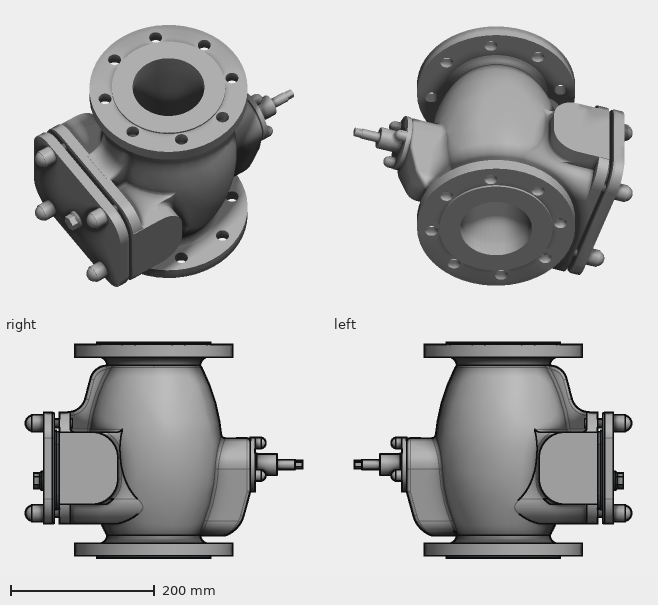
import cadquery as cq
import math

tolerance = 0.2

overall_height = 300.0
bore_diameter = 100.0
flange_diameter = 220.0
flange_thickness = 18.0
raised_face_diameter = 158.0
raised_face_height = 3.0
bolt_circle_diameter = 180.0
bolt_hole_count = 8
bolt_hole_diameter = 18.0
neck_radius = 65.0
neck_foot_radius = 72.5
barrel_radius = 95.0
barrel_half_height = 118.0
half_height = overall_height / 2
flange_outer_z = half_height - raised_face_height
flange_inner_z = flange_outer_z - flange_thickness

cover_width = 215.0
cover_height = 155.0
cover_corner_radius = 35.0
cover_center_z = -25.0
cover_top_z = cover_center_z + cover_height / 2
cover_bottom_z = cover_center_z - cover_height / 2
housing_back_y = -116.0
plate_thickness = 15.0
housing_face_y = housing_back_y - plate_thickness
cover_gap = 7.0
cover_back_y = housing_face_y - cover_gap
cover_face_y = cover_back_y - plate_thickness
cover_chamfer_depth = 3.0
cover_chamfer_inset = 1.5

slab_height = 100.0
slab_inner_y = -50.0
slab_corner_radius = 35.0
slab_top_z = cover_center_z + slab_height / 2
root_width = 165.0
casting_fillet = 5.0
housing_foot_fillet = 6.0

seat_width = 167.0
seat_height = 107.0
seat_center_z = -27.5
seat_thickness = 4.5
gasket_width = 171.0
gasket_height = 110.0
seat_corner_radius = 18.0

stud_diameter = 12.0
stud_tail = 2.5
stud_spacing_x = 128.0
stud_spacing_z = 125.0
nut_diameter = 24.0
nut_body_length = 16.5
nut_dome_diameter = 22.0
nut_length = 25.42

plug_center_z = -42.5
plug_collar_diameter = 25.9
plug_collar_thickness = 5.5
plug_collar_chamfer = 2.5
plug_hex_across_corners = 21.94
plug_length = 14.0

rib_width = 55.0
rib_bend_radius = 25.0
rib_slope = math.radians(14.6)
rib_crest_y = -64.0
rib_straight_length = 28.4
rib_edge_fillet = 5.0

shaft_z = -20.0
boss_top_radius = 37.0
boss_bottom_radius = 25.0
boss_circle_spacing = 74.0
boss_face_y = 134.5
boss_slope_start_z = -57.0
boss_slope = math.radians(15.2)
boss_slope_drop = 33.5
boss_edge_fillet = 5.0
boss_heel_overrun = 2.0
boss_shoulder_fillet = 10.0

bonnet_diameter = 76.0
bonnet_thickness = 6.5
gland_diameter = 30.0
gland_length = 30.5
gland_foot_diameter = 32.0
gland_foot_height = 2.0
shaft_diameter = 14.0
shaft_shoulder_y = 197.0
shaft_end_y = 207.0
shaft_tip_diameter = 12.0
shaft_tip_across_flats = 10.0
shaft_chamfer = 0.8
bonnet_nut_count = 3
bonnet_nut_circle_radius = 30.0
bonnet_nut_diameter = 16.0
bonnet_nut_dome_diameter = 15.0
bonnet_nut_body_length = 8.5
bonnet_nut_length = 15.0
bonnet_face_y = boss_face_y + bonnet_thickness


def y_cylinder(diameter, y_start, y_end, x=0.0, z=0.0):
    """Cylinder along Y between two Y positions."""
    axis = cq.Vector(0, math.copysign(1, y_end - y_start), 0)
    solid = cq.Solid.makeCylinder(diameter / 2, abs(y_end - y_start), cq.Vector(x, y_start, z), axis)
    return cq.Workplane(obj=solid)


def xz_plate(width, height, corner_radius, y_back, y_front, center_z=cover_center_z):
    """Round-cornered plate in XZ, from y_back forward to y_front (towards -Y)."""
    return (
        cq.Workplane("XZ", origin=(0, y_back, center_z))
        .rect(width, height)
        .extrude(y_back - y_front)
        .edges("|Y")
        .fillet(corner_radius)
    )


def dome_nut(diameter, dome_diameter, body_length, length, x, y, z, direction):
    """Cap nut along Y: a cylinder carrying a rounded dome; direction is +1 or -1."""
    dome_height = length - body_length
    dome_radius = dome_diameter / 2
    sphere_radius = (dome_radius**2 + dome_height**2) / (2 * dome_height)
    center = length - sphere_radius
    rim_angle = math.atan2(body_length - center, dome_radius)
    mid_angle = (rim_angle + math.pi / 2) / 2
    arc_middle = (sphere_radius * math.cos(mid_angle), center + sphere_radius * math.sin(mid_angle))
    nut = (
        cq.Workplane("XY")
        .lineTo(diameter / 2, 0)
        .lineTo(diameter / 2, body_length)
        .lineTo(dome_radius, body_length)
        .threePointArc(arc_middle, (0, length))
        .close()
        .revolve(360, (0, 0, 0), (0, 1, 0))
    )
    if direction < 0:
        nut = nut.mirror("XZ")
    return nut.translate((x, y, z))


def fillet_where(body, radius, test):
    """Fillet every edge whose bounding box passes the test."""
    chosen = [edge for edge in body.edges().vals() if test(edge, edge.BoundingBox())]
    return body.newObject(chosen).fillet(radius)


def barrel():
    return (
        cq.Workplane("XZ")
        .moveTo(0, -barrel_half_height)
        .lineTo(neck_radius, -barrel_half_height)
        .threePointArc((barrel_radius, 0), (neck_radius, barrel_half_height))
        .lineTo(0, barrel_half_height)
        .close()
        .revolve(360, (0, 0, 0), (0, 1, 0))
    )


def flange_end():
    """Upper concave neck and pipe flange with its raised face and bolt holes."""
    rise = flange_inner_z - barrel_half_height
    flare = neck_foot_radius - neck_radius
    arc_radius = (rise**2 + flare**2) / (2 * flare)
    half_turn = math.asin(rise / arc_radius) / 2
    arc_middle_x = neck_radius + arc_radius * (1 - math.cos(half_turn))
    arc_middle_z = barrel_half_height + arc_radius * math.sin(half_turn)
    profile = (
        cq.Workplane("XZ")
        .moveTo(0, barrel_half_height)
        .lineTo(neck_radius, barrel_half_height)
        .threePointArc((arc_middle_x, arc_middle_z), (neck_foot_radius, flange_inner_z))
        .lineTo(flange_diameter / 2, flange_inner_z)
        .lineTo(flange_diameter / 2, flange_outer_z)
        .lineTo(raised_face_diameter / 2, flange_outer_z)
        .lineTo(raised_face_diameter / 2, half_height)
        .lineTo(0, half_height)
        .close()
    )
    holes = (
        cq.Workplane("XY", origin=(0, 0, flange_inner_z))
        .polarArray(bolt_circle_diameter / 2, 180 / bolt_hole_count, 360, bolt_hole_count)
        .circle(bolt_hole_diameter / 2)
        .extrude(flange_thickness)
    )
    return profile.revolve(360, (0, 0, 0), (0, 1, 0)).cut(holes)


def chamber_slab():
    depth = slab_inner_y - housing_face_y
    center_y = (slab_inner_y + housing_face_y) / 2
    return (
        cq.Workplane("XY")
        .box(cover_width, depth, slab_height)
        .edges("|X and >Y")
        .fillet(slab_corner_radius)
        .translate((0, center_y, cover_center_z))
    )


def chamber_root():
    height = slab_top_z - cover_bottom_z
    return (
        cq.Workplane("XY")
        .box(root_width, -housing_face_y, height)
        .edges("|Y and <Z")
        .fillet(cover_corner_radius)
        .translate((0, housing_face_y / 2, (slab_top_z + cover_bottom_z) / 2))
    )


def rib():
    """Upright rib with an S-shaped crest: convex bend, straight run, concave bend."""
    turn = math.pi / 2 - rib_slope
    bend_y = rib_bend_radius * math.sin(turn)
    bend_z = rib_bend_radius * (1 - math.cos(turn))
    half_y = rib_bend_radius * math.sin(turn / 2)
    half_z = rib_bend_radius * (1 - math.cos(turn / 2))
    top_z = barrel_half_height
    straight_start = (rib_crest_y - bend_y, top_z - bend_z)
    straight_end = (
        straight_start[0] - rib_straight_length * math.sin(rib_slope),
        straight_start[1] - rib_straight_length * math.cos(rib_slope),
    )
    foot = (straight_end[0] - bend_y, straight_end[1] - bend_z)
    return (
        cq.Workplane("YZ", origin=(-rib_width / 2, 0, 0))
        .moveTo(0, top_z)
        .lineTo(rib_crest_y, top_z)
        .threePointArc((rib_crest_y - half_y, top_z - half_z), straight_start)
        .lineTo(*straight_end)
        .threePointArc((foot[0] + half_y, foot[1] + half_z), foot)
        .lineTo(foot[0], cover_center_z)
        .lineTo(0, cover_center_z)
        .close()
        .extrude(rib_width)
    )


def is_boss_rim(edge, box):
    """Rim of the sloped front: edges near the front that also run in Z."""
    return box.ymin > boss_face_y / 2 and box.zlen > tolerance


def boss():
    """Tapered boss: outline around two circles, front cut to a sloped, rounded heel."""
    taper = math.asin((boss_top_radius - boss_bottom_radius) / boss_circle_spacing)
    top_x = boss_top_radius * math.cos(taper)
    top_z = shaft_z - boss_top_radius * math.sin(taper)
    low_center_z = shaft_z - boss_circle_spacing
    low_x = boss_bottom_radius * math.cos(taper)
    low_z = low_center_z - boss_bottom_radius * math.sin(taper)
    bottom_z = low_center_z - boss_bottom_radius
    outline = (
        cq.Workplane("XZ")
        .moveTo(-low_x, low_z)
        .lineTo(-top_x, top_z)
        .threePointArc((0, shaft_z + boss_top_radius), (top_x, top_z))
        .lineTo(low_x, low_z)
        .threePointArc((0, bottom_z), (-low_x, low_z))
        .close()
        .extrude(-boss_face_y)
    )
    slope_end = (boss_face_y - boss_slope_drop * math.tan(boss_slope), boss_slope_start_z - boss_slope_drop)
    heel_end_z = bottom_z - boss_heel_overrun
    heel_radius = (slope_end[1] - heel_end_z) / (1 - math.sin(boss_slope))
    heel_y = slope_end[0] - heel_radius * math.cos(boss_slope)
    heel_z = slope_end[1] + heel_radius * math.sin(boss_slope)
    middle_angle = (math.pi / 2 + boss_slope) / 2
    heel_middle = (
        heel_y + heel_radius * math.cos(middle_angle),
        heel_z - heel_radius * math.sin(middle_angle),
    )
    side = (
        cq.Workplane("YZ", origin=(-boss_top_radius, 0, 0))
        .moveTo(0, shaft_z + boss_top_radius)
        .lineTo(boss_face_y, shaft_z + boss_top_radius)
        .lineTo(boss_face_y, boss_slope_start_z)
        .lineTo(*slope_end)
        .threePointArc(heel_middle, (heel_y, heel_end_z))
        .lineTo(0, heel_end_z)
        .close()
        .extrude(2 * boss_top_radius)
    )
    solid = outline.intersect(side)
    solid = solid.faces(">Y").edges("|X").fillet(boss_shoulder_fillet)
    return fillet_where(solid, boss_edge_fillet, is_boss_rim)


def bonnet():
    """Bonnet disc with its gland, shaft and dome nuts."""
    gland_end_y = bonnet_face_y + gland_length
    assembly = y_cylinder(bonnet_diameter, boss_face_y, bonnet_face_y, z=shaft_z)
    foot_end_y = bonnet_face_y + gland_foot_height
    assembly = assembly.union(y_cylinder(gland_foot_diameter, bonnet_face_y, foot_end_y, z=shaft_z))
    gland = y_cylinder(gland_diameter, bonnet_face_y, gland_end_y, z=shaft_z)
    assembly = assembly.union(gland.faces(">Y").chamfer(shaft_chamfer))
    shaft = y_cylinder(shaft_diameter, bonnet_face_y, shaft_shoulder_y, z=shaft_z)
    assembly = assembly.union(shaft.faces(">Y").chamfer(shaft_chamfer))
    flats = cq.Workplane("XY").box(shaft_tip_across_flats, 2 * shaft_end_y, 2 * shaft_diameter)
    tip = y_cylinder(shaft_tip_diameter, shaft_shoulder_y, shaft_end_y, z=shaft_z)
    assembly = assembly.union(tip.intersect(flats.translate((0, 0, shaft_z))))
    for index in range(bonnet_nut_count):
        angle = math.pi / 2 + index * 2 * math.pi / bonnet_nut_count
        x = bonnet_nut_circle_radius * math.cos(angle)
        z = shaft_z + bonnet_nut_circle_radius * math.sin(angle)
        nut = dome_nut(bonnet_nut_diameter, bonnet_nut_dome_diameter, bonnet_nut_body_length,
                       bonnet_nut_length, x, bonnet_face_y, z, 1)
        assembly = assembly.union(nut)
    return assembly


def cover_assembly():
    """Seat, gasket, cover plate and studs with dome nuts."""
    gasket_back_y = housing_face_y - seat_thickness
    assembly = xz_plate(seat_width, seat_height, seat_corner_radius,
                        housing_face_y, gasket_back_y, seat_center_z)
    gasket = xz_plate(gasket_width, gasket_height, seat_corner_radius,
                      gasket_back_y, cover_back_y, seat_center_z)
    cover = xz_plate(cover_width, cover_height, cover_corner_radius, cover_back_y, cover_face_y)
    cover = cover.faces(">Y").chamfer(cover_chamfer_depth, cover_chamfer_inset)
    assembly = assembly.union(gasket).union(cover)
    for side_x in (-1, 1):
        for side_z in (-1, 1):
            x = side_x * stud_spacing_x / 2
            z = cover_center_z + side_z * stud_spacing_z / 2
            stud = y_cylinder(stud_diameter, housing_back_y + stud_tail, cover_face_y, x, z)
            nut = dome_nut(nut_diameter, nut_dome_diameter, nut_body_length, nut_length,
                           x, cover_face_y, z, -1)
            assembly = assembly.union(stud).union(nut)
    return assembly


def plug():
    """Hexagon plug with a chamfered collar."""
    collar = y_cylinder(plug_collar_diameter, cover_face_y, cover_face_y - plug_collar_thickness,
                        z=plug_center_z)
    collar = collar.faces("<Y").chamfer(plug_collar_chamfer)
    hexagon = (
        cq.Workplane("XZ", origin=(0, cover_face_y, plug_center_z))
        .polygon(6, plug_hex_across_corners)
        .extrude(plug_length)
        .rotate((0, 0, plug_center_z), (0, 1, plug_center_z), 90)
    )
    return collar.union(hexagon)


def is_root_blend(edge, box):
    """Seams of the rib and the top of the root with the barrel and with each other."""
    if abs(box.zmin - slab_top_z) > tolerance or box.ymax > 0:
        return False
    rib_foot = box.zlen < tolerance and box.xlen < tolerance and abs(abs(box.xmin) - rib_width / 2) < tolerance
    return edge.geomType() == "BSPLINE" or rib_foot


def is_rib_crest(edge, box):
    """Side edges of the curved rib crest above the housing."""
    on_side = box.xlen < tolerance and abs(abs(box.xmin) - rib_width / 2) < tolerance
    on_crest = box.zmin > cover_top_z and box.zlen > casting_fillet
    return on_side and on_crest and box.ymin < rib_crest_y and edge.geomType() != "BSPLINE"


def is_boss_seam(edge, box):
    """Seam between the shaft boss and the barrel."""
    return edge.geomType() == "BSPLINE" and box.ymin > barrel_radius / 2 and box.ymax < barrel_radius


def is_housing_foot(edge, box):
    """Inside corner between the slab top and the back of the housing flange."""
    level = box.zlen < tolerance and abs(box.zmin - slab_top_z) < tolerance
    return level and box.ylen < tolerance and abs(box.ymin - housing_back_y) < tolerance


def slab_web():
    """Concave fillet between the root's side and the rounded back of the slab (-X side)."""
    side_x = -root_width / 2
    radius = casting_fillet
    middle = radius * (1 - math.sqrt(0.5))
    bend_y = slab_inner_y - slab_corner_radius
    bend_offset = slab_corner_radius * math.sqrt(0.5)
    bottom_z = slab_top_z - slab_height
    upper_z = slab_top_z - slab_corner_radius
    lower_z = bottom_z + slab_corner_radius
    path = (
        cq.Workplane("YZ", origin=(side_x, 0, 0))
        .moveTo(bend_y, slab_top_z)
        .threePointArc((bend_y + bend_offset, upper_z + bend_offset), (slab_inner_y, upper_z))
        .lineTo(slab_inner_y, lower_z)
        .threePointArc((bend_y + bend_offset, lower_z - bend_offset), (bend_y, bottom_z))
    )
    section = (
        cq.Workplane("XZ", origin=(side_x, bend_y, slab_top_z))
        .lineTo(-radius, 0)
        .threePointArc((-middle, middle), (0, radius))
        .close()
    )
    limit = cq.Workplane("XY").box(cover_width, cover_width, slab_height).translate((0, 0, cover_center_z))
    return section.sweep(path).intersect(limit)


def casting():
    """Barrel with the hinge chamber, housing flange, rib and shaft boss."""
    body = barrel().union(chamber_root()).union(rib())
    body = fillet_where(body, casting_fillet, is_root_blend)
    body = fillet_where(body, rib_edge_fillet, is_rib_crest)
    body = fillet_where(body.union(boss()), casting_fillet, is_boss_seam)
    flange = xz_plate(cover_width, cover_height, cover_corner_radius, housing_back_y, housing_face_y)
    housing = fillet_where(chamber_slab().union(flange), housing_foot_fillet, is_housing_foot)
    web = slab_web()
    return body.union(housing).union(web).union(web.mirror("YZ"))


upper_end = flange_end()
bore = cq.Workplane("XY").circle(bore_diameter / 2).extrude(half_height, both=True)
result = casting().union(upper_end).union(upper_end.mirror("XY")).union(bonnet())
result = result.union(cover_assembly()).union(plug()).cut(bore)